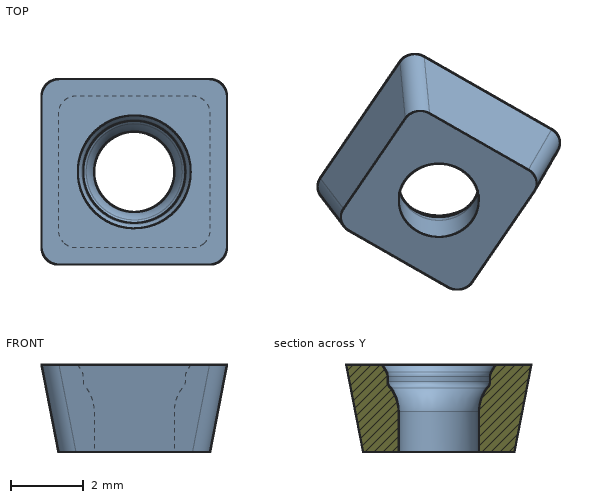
import cadquery as cq
import math

top_width = 5.1
thickness = 2.4
clearance_angle = 11.0
corner_radius = 0.485
bottom_width = top_width - 2 * thickness * math.tan(math.radians(clearance_angle))

bore_radius = 2.2 / 2
throat_radius = 1.4
seat_radius = 1.32
cone_half_angle = 30.0
cone_depth = 0.2
throat_start_depth = 0.325
throat_end_depth = 0.47
seat_depth = 0.64
bore_depth = 1.29


def rounded_square(width):
    return cq.Sketch().rect(width, width).vertices().fillet(corner_radius)


def make_body():
    """Loft with the same corner radius at the top and the bottom."""
    return (
        cq.Workplane("XY")
        .placeSketch(
            rounded_square(bottom_width),
            rounded_square(top_width).moved(cq.Location(cq.Vector(0, 0, thickness))),
        )
        .loft(ruled=True)
    )


def arc_from_vertical(radius, start_depth, end_radius, end_depth):
    """Middle and end points of an arc that leaves (radius, start_depth) vertically."""
    rise = start_depth - end_depth
    offset = end_radius - radius
    sweep = 2 * math.atan2(abs(offset), abs(rise))
    arc_radius = abs(rise) / math.sin(sweep)
    middle_offset = math.copysign(arc_radius * (1 - math.cos(sweep / 2)), offset)
    middle_rise = math.copysign(arc_radius * math.sin(sweep / 2), rise)
    middle = (radius + middle_offset, thickness - start_depth + middle_rise)
    return middle, (end_radius, thickness - end_depth)


def make_screw_hole():
    """Revolved profile: bore, concave seat, rounded shoulder, throat and entry cone."""
    cone = math.radians(cone_half_angle)
    cone_radius = throat_radius + (throat_start_depth - cone_depth) * math.tan(cone / 2)
    mouth_radius = cone_radius + cone_depth * math.tan(cone)

    seat = arc_from_vertical(bore_radius, bore_depth, seat_radius, seat_depth)
    shoulder_middle, _ = arc_from_vertical(throat_radius, throat_end_depth, seat_radius, seat_depth)
    blend = arc_from_vertical(throat_radius, throat_start_depth, cone_radius, cone_depth)

    return (
        cq.Workplane("XZ")
        .lineTo(bore_radius, 0)
        .lineTo(bore_radius, thickness - bore_depth)
        .threePointArc(*seat)
        .threePointArc(shoulder_middle, (throat_radius, thickness - throat_end_depth))
        .lineTo(throat_radius, thickness - throat_start_depth)
        .threePointArc(*blend)
        .lineTo(mouth_radius, thickness)
        .lineTo(0, thickness)
        .close()
        .revolve(360, (0, 0, 0), (0, 1, 0))
    )


result = make_body().cut(make_screw_hole())